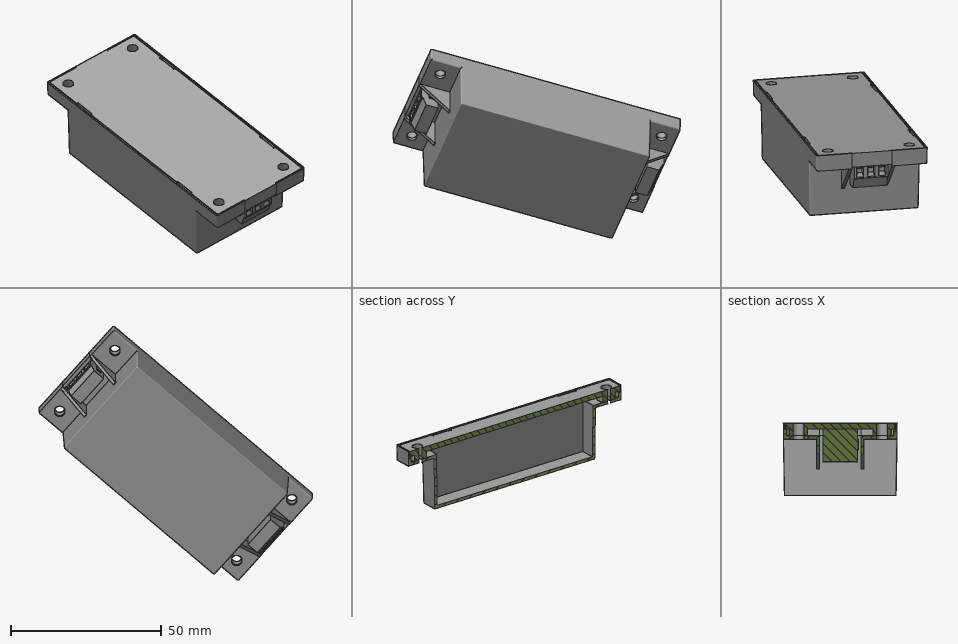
import cadquery as cq
import math

length = 88.4
width = 38.1
height = 24.1
draft = 1.0
edge_radius = 0.5
bottom_radius = 0.3
wall = 1.2

ear_depth = 5.4
body_top_length = 67.45
gusset_reach = 15.3
gusset_thickness = 1.1

lid_thickness = 2.0
rim = 0.5
lid_side_gap = 0.3
flap_width = 13.7
flap_depth = 4.9
screw_hole = 3.5
screw_spacing_x = 78.3
screw_spacing_y = 27.9
boss_diameter = 6.2

snap_spacing = 52.0
snap_width = 6.4
snap_reach = 0.35
snap_notch_width = 7.4
snap_notch_inset = 1.3

terminal_width = 11.6
terminal_setback = 1.3
terminal_face_bottom = 9.4
terminal_bottom = 12.9
terminal_nose = 3.0
terminal_lip = 0.4
terminal_back = 7.25
key_reach = 0.3
key_setback = 4.1
key_length = 1.8
key_top = 5.2
key_bottom = 8.9

entry_count = 3
entry_pitch = 3.8
entry_width = 2.5
entry_top = 5.4
entry_bottom = 8.8
throat_width = 1.8
throat_top = 6.0
throat_bottom = 7.5
throat_depth = 0.6

end_x = length / 2
side_y = width / 2
ear_floor_top = ear_depth - wall
gusset_inner_y = flap_width / 2
draft_slope = math.tan(math.radians(draft))
body_end_x = body_top_length / 2 - ear_depth * draft_slope


def drafted_block(size_x, size_y, depth):
    """Block hanging from the top plane, narrowing downward by the draft angle."""
    return cq.Workplane("XY").rect(size_x, size_y).extrude(-depth, taper=draft)


def body_block():
    """Main body at full height, without the ears or edge rounding."""
    return drafted_block(body_top_length, width, height)


def box_between(x, y, z):
    """Box given by its (low, high) limits along each axis."""
    box = cq.Workplane("XY").box(x[1] - x[0], y[1] - y[0], z[1] - z[0], centered=False)
    return box.translate((x[0], y[0], z[0]))


def at_both_ends(shape):
    """The shape joined with its half-turn copy at the other end of the enclosure."""
    return shape.union(shape.rotate((0, 0, 0), (0, 0, 1), 180))


def screw_cylinders(diameter, depth):
    """Four cylinders hanging from the top plane at the screw positions."""
    return (
        cq.Workplane("XY")
        .rect(screw_spacing_x, screw_spacing_y, forConstruction=True)
        .vertices()
        .circle(diameter / 2)
        .extrude(-depth)
    )


def fillet_outline(block):
    """Round the upright corners, the long lower edges of the ears and the bottom rim."""
    side_edges = [
        edge for edge in block.edges().vals()
        if abs(edge.Center().y) > side_y / 2 and -height < edge.Center().z < 0
    ]
    block = block.newObject(side_edges).fillet(edge_radius)
    return block.faces("<Z").edges().fillet(bottom_radius)


def make_outline():
    """Solid outer shape of the closed enclosure."""
    ears = drafted_block(length, width, ear_depth)
    return fillet_outline(ears.union(body_block()).clean())


def make_cavity():
    """Inner space: a shallow tray over the ears and a deep well inside the body."""
    inner_width = width - 2 * wall
    tray = drafted_block(length - 2 * wall, inner_width, ear_floor_top)
    well = drafted_block(body_top_length - 2 * wall, inner_width, height - wall)
    return tray.union(well)


def terminal_opening():
    """Slot through the end wall and the ear floor that a terminal block and its flap fill."""
    slot = box_between(
        (-end_x, -body_end_x + wall / 2), (-gusset_inner_y, gusset_inner_y), (-ear_depth, 0)
    )
    return slot.cut(body_block())


def gusset(y_low):
    """Triangular rib between the underside of an ear and the end of the body."""
    ear_edge_x = -end_x + ear_depth * draft_slope
    root_x = -body_end_x + wall / 2
    return (
        cq.Workplane("XZ", origin=(0, y_low + gusset_thickness, 0))
        .polyline([
            (ear_edge_x, -ear_depth), (root_x, -ear_depth),
            (root_x, -gusset_reach), (-body_end_x, -gusset_reach),
        ])
        .close()
        .extrude(gusset_thickness)
    )


def snap_tab():
    """Wedge on the +Y rim, thickening downward to the ledge the lid rests on."""
    rim_y = side_y - rim
    return (
        cq.Workplane("YZ", origin=(-snap_width / 2, 0, 0))
        .polyline([
            (rim_y, 0), (rim_y - snap_reach, -lid_thickness),
            (side_y - rim / 2, -lid_thickness), (side_y - rim / 2, 0),
        ])
        .close()
        .extrude(snap_width)
    )


def make_housing(outline):
    """Hollow lower shell with the lid rabbet, terminal openings, gussets and snap tabs."""
    rabbet = drafted_block(length - 2 * rim, width - 2 * rim, lid_thickness)
    housing = outline.cut(make_cavity()).cut(rabbet).cut(at_both_ends(terminal_opening()))
    for y_low in (gusset_inner_y, -gusset_inner_y - gusset_thickness):
        housing = housing.union(at_both_ends(gusset(y_low)))
    for x in (-snap_spacing / 2, snap_spacing / 2):
        housing = housing.union(at_both_ends(snap_tab().translate((x, 0, 0))))
    return housing.cut(screw_cylinders(screw_hole, height))


def end_flap(outline):
    """Tongue of the lid that closes the end wall above a terminal block."""
    flap = box_between(
        (-end_x, -end_x + wall), (-gusset_inner_y, gusset_inner_y), (-flap_depth, 0)
    )
    return flap.intersect(outline)


def make_lid(outline):
    """Flush cover with two end flaps and tubular screw bosses reaching the ear floors."""
    plate = drafted_block(length - 2 * rim, width - 2 * (rim + lid_side_gap), lid_thickness)
    notch_y = side_y - snap_notch_inset
    half_notch = snap_notch_width / 2
    for x in (-snap_spacing / 2, snap_spacing / 2):
        notch = box_between(
            (x - half_notch, x + half_notch), (notch_y, side_y), (-lid_thickness, 0)
        )
        plate = plate.cut(at_both_ends(notch))
    lid = plate.union(at_both_ends(end_flap(outline)))
    lid = lid.union(screw_cylinders(boss_diameter, ear_floor_top))
    return lid.cut(screw_cylinders(screw_hole, height))


def wire_entry(y):
    """Blind funnel narrowing from the terminal face to a smaller floor."""
    mouth_z = -(entry_top + entry_bottom) / 2
    throat_z = -(throat_top + throat_bottom) / 2
    face_x = -end_x + terminal_setback
    return (
        cq.Workplane("YZ", origin=(face_x, y, mouth_z))
        .rect(entry_width, entry_bottom - entry_top)
        .workplane(offset=throat_depth)
        .center(0, throat_z - mouth_z)
        .rect(throat_width, throat_bottom - throat_top)
        .loft(ruled=True)
    )


def make_terminal():
    """Terminal block at the -X end, standing against the underside of the lid."""
    face_x = -end_x + terminal_setback
    back_x = -end_x + terminal_back
    block = (
        cq.Workplane("XZ", origin=(0, terminal_width / 2, 0))
        .polyline([
            (face_x, -lid_thickness), (face_x, -terminal_face_bottom),
            (face_x + terminal_lip, -terminal_face_bottom),
            (-end_x + terminal_nose, -terminal_bottom),
            (back_x, -terminal_bottom), (back_x, -lid_thickness),
        ])
        .close()
        .extrude(terminal_width)
    )
    key_x = -end_x + key_setback
    key = box_between(
        (key_x, key_x + key_length),
        (-terminal_width / 2 - key_reach, 0),
        (-key_bottom, -key_top),
    )
    block = block.union(key)
    for index in range(entry_count):
        block = block.cut(wire_entry((index - (entry_count - 1) / 2) * entry_pitch))
    return block


outline = make_outline()
housing = make_housing(outline)
lid = make_lid(outline)
terminals = [make_terminal().rotate((0, 0, 0), (0, 0, 1), angle) for angle in (0, 180)]

result = cq.Compound.makeCompound(
    [body.solids().val() for body in (housing, lid, *terminals)]
)